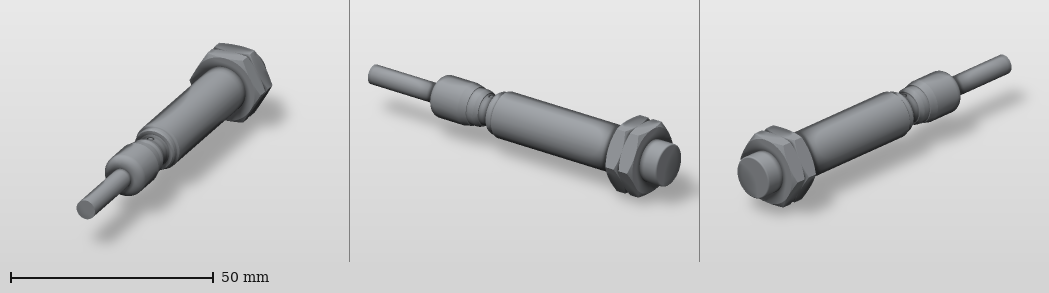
import cadquery as cq
import math

TOTAL_LENGTH = 89.2

BARREL_DIAMETER = 12.0
REDUCED_DIAMETER = 11.0
NECK_DIAMETER = 7.9
TAPER_DIAMETER = 8.6
SHOULDER_DIAMETER = 9.5
GRIP_TAPER_DIAMETER = 10.0
CABLE_DIAMETER = 5.1

TIP_END = 5.0
BARREL_END = 50.0
COLLAR_END = 51.7
NECK_START = 52.2
NECK_END = 54.8
SHOULDER_START = 56.0
SHOULDER_END = 57.9
GRIP_START = 60.0
GRIP_END = 69.2

TIP_FILLET = 0.4
BARREL_CHAMFER = (BARREL_DIAMETER - REDUCED_DIAMETER) / 2
COLLAR_CHAMFER_LENGTH = 0.5
COLLAR_CHAMFER_DEPTH = 0.3
SHOULDER_FILLET = 0.9
GRIP_FILLET = 2.0
EDGE_TOLERANCE = 0.01

LAMP_DIAMETER = 1.9
LAMP_POSITION = 53.4
LAMP_PROTRUSION = 0.13

NUT_COUNT = 2
NUT_ACROSS_FLATS = 17.0
NUT_ACROSS_CORNERS = NUT_ACROSS_FLATS / math.cos(math.radians(30))
NUT_THICKNESS = 4.0
NUT_CHAMFER_ANGLE = 30.0


def make_turned_body():
    """Tip, barrel, collar, neck, connector grip and cable as one revolved outline."""
    reduced_radius = REDUCED_DIAMETER / 2
    barrel_radius = BARREL_DIAMETER / 2
    neck_radius = NECK_DIAMETER / 2
    taper_radius = TAPER_DIAMETER / 2
    shoulder_radius = SHOULDER_DIAMETER / 2
    cable_radius = CABLE_DIAMETER / 2

    outline = (
        cq.Workplane("XY")
        .moveTo(0, 0)
        .lineTo(reduced_radius, 0)
        .lineTo(reduced_radius, -TIP_END)
        .lineTo(barrel_radius, -TIP_END)
        .lineTo(barrel_radius, -(BARREL_END - BARREL_CHAMFER))
        .lineTo(reduced_radius, -BARREL_END)
        .lineTo(reduced_radius, -(COLLAR_END - COLLAR_CHAMFER_LENGTH))
        .lineTo(reduced_radius - COLLAR_CHAMFER_DEPTH, -COLLAR_END)
        .lineTo(taper_radius, -COLLAR_END)
        .lineTo(neck_radius, -NECK_START)
        .lineTo(neck_radius, -NECK_END)
        .lineTo(taper_radius, -NECK_END)
        .lineTo(shoulder_radius, -SHOULDER_START)
        .lineTo(shoulder_radius, -SHOULDER_END)
        .lineTo(GRIP_TAPER_DIAMETER / 2, -SHOULDER_END)
        .lineTo(reduced_radius, -GRIP_START)
        .lineTo(reduced_radius, -GRIP_END)
        .lineTo(cable_radius, -GRIP_END)
        .lineTo(cable_radius, -TOTAL_LENGTH)
        .lineTo(0, -TOTAL_LENGTH)
        .close()
    )
    return outline.revolve(360, (0, 0, 0), (0, 1, 0))


def round_edge(body, distance, diameter, fillet):
    """Fillet the circular edge of one diameter at a distance from the sensing face."""
    def is_edge(edge):
        on_station = abs(edge.Center().y + distance) < EDGE_TOLERANCE
        return on_station and abs(edge.radius() - diameter / 2) < EDGE_TOLERANCE

    return body.edges("%CIRCLE").filter(is_edge).fillet(fillet)


def round_edges(body):
    """Round the tip, shoulder and grip edges."""
    body = round_edge(body, 0, REDUCED_DIAMETER, TIP_FILLET)
    body = round_edge(body, SHOULDER_START, SHOULDER_DIAMETER, SHOULDER_FILLET)
    return round_edge(body, GRIP_END, REDUCED_DIAMETER, GRIP_FILLET)


def add_lamp(body):
    """Sink a hole into the top of the neck and fill its bottom with the lamp dome."""
    lamp_radius = LAMP_DIAMETER / 2
    lamp_top = NECK_DIAMETER / 2 + LAMP_PROTRUSION
    dome_centre = (0, -LAMP_POSITION, lamp_top - lamp_radius)
    hole = cq.Workplane("XY", origin=dome_centre).circle(lamp_radius).extrude(LAMP_DIAMETER)
    dome = cq.Workplane("XY", origin=dome_centre).sphere(lamp_radius)
    return body.cut(hole).union(dome)


def make_sensor():
    return add_lamp(round_edges(make_turned_body()))


def make_nut(start):
    """Hexagonal nut on the barrel, corners along X, both faces chamfered at the corners."""
    flat_radius = NUT_ACROSS_FLATS / 2
    corner_radius = NUT_ACROSS_CORNERS / 2
    chamfer_length = (corner_radius - flat_radius) * math.tan(math.radians(NUT_CHAMFER_ANGLE))
    end = start + NUT_THICKNESS

    hexagon = (
        cq.Workplane("XZ", origin=(0, -start, 0))
        .polygon(6, NUT_ACROSS_CORNERS)
        .circle(BARREL_DIAMETER / 2)
        .extrude(NUT_THICKNESS)
    )
    chamfer_envelope = (
        cq.Workplane("XY")
        .moveTo(0, -start)
        .lineTo(flat_radius, -start)
        .lineTo(corner_radius, -(start + chamfer_length))
        .lineTo(corner_radius, -(end - chamfer_length))
        .lineTo(flat_radius, -end)
        .lineTo(0, -end)
        .close()
        .revolve(360, (0, 0, 0), (0, 1, 0))
    )
    return hexagon.intersect(chamfer_envelope)


sensor = make_sensor()
nuts = [make_nut(TIP_END + index * NUT_THICKNESS) for index in range(NUT_COUNT)]

result = cq.Compound.makeCompound([sensor.val(), *[nut.val() for nut in nuts]])